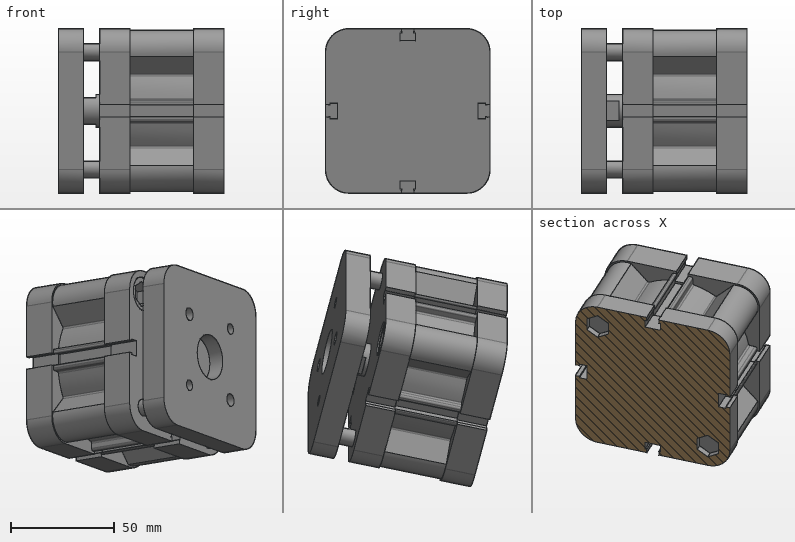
import cadquery as cq
import math


length = 80.0
side = 79.5
corner_radius = 11.4
plate_thickness = 12.2
plate_gap = 7.8
cap_thickness = 14.7

half_side = side / 2
post_offset = half_side - corner_radius
housing_x = plate_thickness + plate_gap
tube_x = housing_x + cap_thickness
rear_cap_x = length - cap_thickness
tube_length = rear_cap_x - tube_x

tube_inset = 0.8
barrel_radius = 34.6
post_radius = corner_radius - tube_inset
post_width = 17.6
post_distance = post_offset * math.sqrt(2)
rail_half_width = 5.4
rail_top = 38.4
shoulder_radius = 1.1
foot_radius = 0.9
lip_radius = 0.4

lip_height = 2.2
cap_slot_depth = 5.8
tube_slot_depth = 7.0
cap_mouth_half = 3.0
cap_undercut_half = 3.8
tube_mouth_half = 2.8
tube_undercut_half = 3.7

recess_diameter = 16.5
recess_depth = 0.7
socket_across_flats = 10.7
socket_depth = 6.3

bore_diameter = 22.0
bore_depth = 7.5
hole_offset = 17.7
screw_hole_diameter = 5.1
dowel_hole_diameter = 6.2

guide_diameter = 8.2
rod_diameter = 16.0
rod_across_flats = 13.0
flat_length = 6.0


def section(x):
    """Sketch plane across the stroke: local x is Y, local y is Z, extrusions go toward +X."""
    return cq.Workplane("YZ", origin=(x, 0, 0))


def turned(body, degrees):
    """The body turned about the stroke axis."""
    return body.rotate((0, 0, 0), (1, 0, 0), degrees)


def lengthwise_edges(body, distance):
    """The edges along X that lie at the given distance from the stroke axis."""
    tolerance = 0.001
    return body.edges("|X").filter(
        lambda edge: abs(math.hypot(edge.Center().y, edge.Center().z) - distance) < tolerance
    )


def square_block(x, thickness):
    return section(x).rect(side, side).extrude(thickness).edges("|X").fillet(corner_radius)


def make_plate():
    rising_diagonal = [(hole_offset, hole_offset), (-hole_offset, -hole_offset)]
    falling_diagonal = [(hole_offset, -hole_offset), (-hole_offset, hole_offset)]
    dowel_holes = section(0).pushPoints(rising_diagonal).circle(dowel_hole_diameter / 2)
    screw_holes = section(0).pushPoints(falling_diagonal).circle(screw_hole_diameter / 2)
    bore = section(0).circle(bore_diameter / 2).extrude(bore_depth)
    return (
        square_block(0, plate_thickness)
        .cut(bore)
        .cut(dowel_holes.extrude(plate_thickness))
        .cut(screw_holes.extrude(plate_thickness))
    )


def make_post():
    """Corner post on the +Y axis: parallel flanks with a round outer end."""
    web = section(tube_x).center(post_distance / 2, 0).rect(post_distance, post_width)
    band = section(tube_x).center(post_distance, 0).rect(2 * post_radius, post_width)
    outer_end = section(tube_x).center(post_distance, 0).circle(post_radius).extrude(tube_length)
    return web.extrude(tube_length).union(outer_end.intersect(band.extrude(tube_length)))


def make_rail():
    """Slot rail on the +Z side, before its slot is cut, with rounded shoulders."""
    rail = section(tube_x).center(0, rail_top / 2).rect(2 * rail_half_width, rail_top)
    return rail.extrude(tube_length).edges("|X and >Z").fillet(shoulder_radius)


def groove(x, groove_length, half_width, top, bottom):
    """Straight groove on the +Z side, between two depths below the cap faces."""
    middle_z = half_side - (top + bottom) / 2
    return section(x).center(0, middle_z).rect(2 * half_width, bottom - top).extrude(groove_length)


def cut_slots(body, x, slot_length, mouth_half, undercut_half, depth):
    """The body with an undercut slot along the middle of each of its four sides."""
    mouth = groove(x, slot_length, mouth_half, 0, lip_height)
    undercut = groove(x, slot_length, undercut_half, lip_height, depth)
    slot = mouth.union(undercut)
    for quarter in range(4):
        body = body.cut(turned(slot, 90 * quarter))
    return body


def make_tube():
    tube = section(tube_x).circle(barrel_radius).extrude(tube_length)
    for quarter in range(4):
        tube = tube.union(turned(make_post(), 45 + 90 * quarter))
        tube = tube.union(turned(make_rail(), 90 * quarter))
    tube = lengthwise_edges(tube, barrel_radius).fillet(foot_radius)
    tube = cut_slots(tube, tube_x, tube_length, tube_mouth_half, tube_undercut_half, tube_slot_depth)
    return lengthwise_edges(tube, math.hypot(tube_mouth_half, rail_top)).fillet(lip_radius)


def make_cap(x):
    cap = square_block(x, cap_thickness)
    return cut_slots(cap, x, cap_thickness, cap_mouth_half, cap_undercut_half, cap_slot_depth)


def screw_recess(y, z):
    """Round recess with a hexagon socket in its floor, flats facing Y."""
    socket_across_corners = socket_across_flats / math.cos(math.radians(30))
    recess = section(housing_x).center(y, z).circle(recess_diameter / 2).extrude(recess_depth)
    socket = (
        section(housing_x + recess_depth)
        .center(y, z)
        .transformed(rotate=(0, 0, 30))
        .polygon(6, socket_across_corners)
        .extrude(socket_depth)
    )
    return recess.union(socket)


def make_housing():
    housing = make_cap(housing_x).union(make_tube()).union(make_cap(rear_cap_x))
    for sign in (1, -1):
        housing = housing.cut(screw_recess(sign * post_offset, sign * post_offset))
    return housing


def make_piston_rod():
    rod = section(plate_thickness).circle(rod_diameter / 2).extrude(plate_gap)
    flats = section(plate_thickness).rect(rod_diameter, rod_across_flats).extrude(flat_length)
    collar_length = plate_gap - flat_length
    collar = section(plate_thickness + flat_length).circle(rod_diameter / 2).extrude(collar_length)
    return rod.intersect(flats).union(collar)


def make_guide_rod(y, z):
    return section(plate_thickness).center(y, z).circle(guide_diameter / 2).extrude(plate_gap)


plate = make_plate()
housing = make_housing()
piston_rod = make_piston_rod()
guide_rods = [make_guide_rod(sign * post_offset, -sign * post_offset) for sign in (1, -1)]

result = cq.Compound.makeCompound(
    [plate.val(), housing.val(), piston_rod.val(), *[rod.val() for rod in guide_rods]]
)